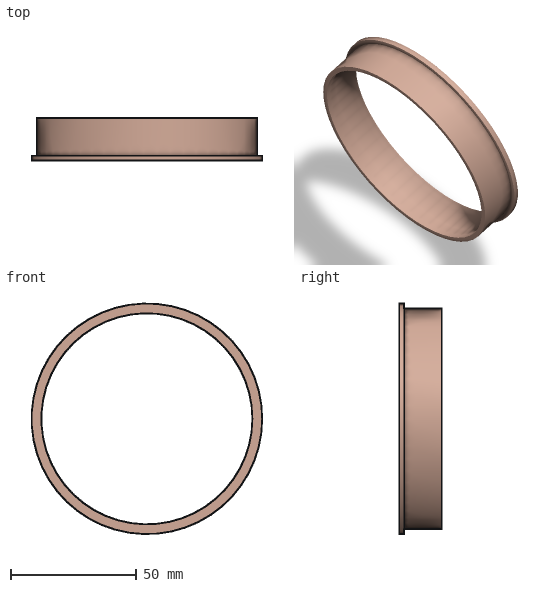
import cadquery as cq

flange_diameter = 92.0
sleeve_diameter = 88.0
bore_diameter = 84.0
total_length = 17.0
flange_thickness = 2.0


def cylinder_along_y(diameter, length):
    """Solid cylinder from the flange face (Y = 0) towards +Y."""
    return cq.Workplane("XZ").circle(diameter / 2).extrude(-length)


flange = cylinder_along_y(flange_diameter, flange_thickness)
sleeve = cylinder_along_y(sleeve_diameter, total_length)
bore = cylinder_along_y(bore_diameter, total_length)

result = flange.union(sleeve).cut(bore)